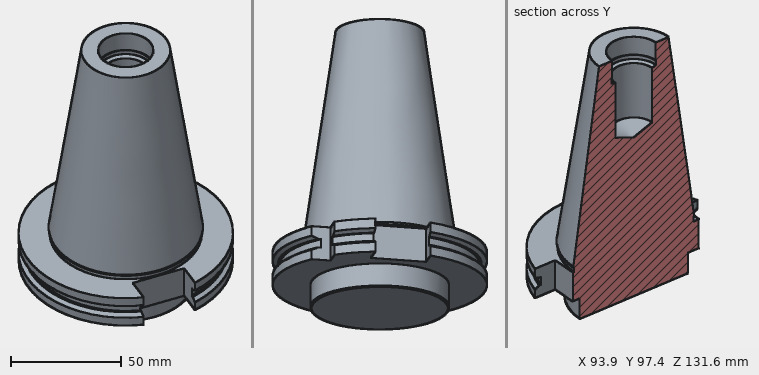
import cadquery as cq
import math

total_height = 131.6
boss_height = 11.0
flange_thickness = 15.8
gauge_height = 29.7
neck_chamfer = 0.9
boss_chamfer = 0.5
flange_top = boss_height + flange_thickness

boss_radius = 63.0 / 2
flange_radius = 97.4 / 2
neck_radius = 69.4 / 2
gauge_radius = 70.1 / 2
taper_ratio = 7 / 24
tip_radius = gauge_radius - (total_height - gauge_height) * taper_ratio / 2

groove_floor_radius = 45.4
groove_width = 4.0
flank_depth = 2.4
groove_middle = boss_height + flange_thickness / 2
flank_height = flank_depth * math.tan(math.radians(30))

slot_width = 25.7
left_slot_floor = 37.6
right_slot_floor = 35.3
notch_x = 29.7
notch_y = 29.9

counterbore_radius = 25.0 / 2
counterbore_depth = 9.7
undercut_radius = 25.4 / 2
undercut_bottom_depth = 12.1
bore_radius = 21.0 / 2
bore_depth = 42.1
bore_cone_half_angle = 70.0


def turned_body():
    flank_foot_radius = flange_radius - flank_depth
    floor_bottom = groove_middle - groove_width / 2
    floor_top = groove_middle + groove_width / 2
    profile = [
        (0, 0),
        (boss_radius - boss_chamfer, 0),
        (boss_radius, boss_chamfer),
        (boss_radius, boss_height),
        (flange_radius, boss_height),
        (flange_radius, floor_bottom - flank_height),
        (flank_foot_radius, floor_bottom),
        (groove_floor_radius, floor_bottom),
        (groove_floor_radius, floor_top),
        (flank_foot_radius, floor_top),
        (flange_radius, floor_top + flank_height),
        (flange_radius, flange_top),
        (neck_radius, flange_top),
        (neck_radius, gauge_height - neck_chamfer),
        (gauge_radius, gauge_height),
        (tip_radius, total_height),
        (0, total_height),
    ]
    return cq.Workplane("XZ").polyline(profile).close().revolve(360, (0, 0), (0, 1))


def bore():
    counterbore_floor = total_height - counterbore_depth
    undercut_floor = total_height - undercut_bottom_depth
    cone_slope = 1 / math.tan(math.radians(bore_cone_half_angle))
    bore_mouth = undercut_floor - (undercut_radius - bore_radius) * cone_slope
    bore_floor = total_height - bore_depth
    profile = [
        (0, total_height),
        (counterbore_radius, total_height),
        (counterbore_radius, counterbore_floor),
        (undercut_radius, counterbore_floor),
        (undercut_radius, undercut_floor),
        (bore_radius, bore_mouth),
        (bore_radius, bore_floor),
        (0, bore_floor - bore_radius * cone_slope),
    ]
    return cq.Workplane("XZ").polyline(profile).close().revolve(360, (0, 0), (0, 1))


def flange_cut(x_range, y_range):
    """Rectangular block through the full thickness of the flange."""
    x_min, x_max = x_range
    y_min, y_max = y_range
    return (
        cq.Workplane("XY", origin=(x_min, y_min, boss_height))
        .box(x_max - x_min, y_max - y_min, flange_thickness, centered=False)
    )


slot_sides = (-slot_width / 2, slot_width / 2)
left_slot = flange_cut((-flange_radius, -left_slot_floor), slot_sides)
right_slot = flange_cut((right_slot_floor, flange_radius), slot_sides)
notch = flange_cut((-flange_radius, -notch_x), (notch_y, flange_radius))

result = turned_body().cut(bore()).cut(left_slot).cut(right_slot).cut(notch)